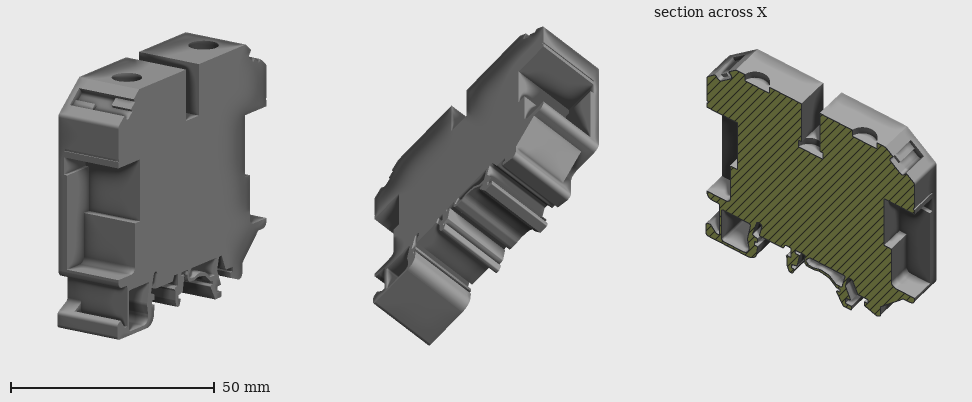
import math

import cadquery as cq

width = 17.95
height = 62.2
half_length = 31.75
body_bottom = 13.05
corner_radius = 1.7
side_wall = 1.65

shoulder_y = 22.8
shoulder_z = 54.7
shoulder_radius = 1.2

slot_width = 5.55
slot_floor = 49.0
hole_diameter = 7.5
hole_depth = 2.1
hole_spacing = 32.8
hole_x = (side_wall + width) / 2

entry_wall = 2.65
entry_top = 44.1
entry_step = 39.6
entry_ledge = 28.2
entry_floor = 15.4
entry_upper_depth = 9.3
entry_lower_depth = 7.15
entry_radius = 1.5
end_groove_z = 46.0
end_groove_height = 0.6
end_groove_depth = 0.3

channel_start = 3.1
channel_end = 8.3
channel_depth = 2.0
channel_radius = 0.8
rib_depth = 1.05
rib_width = 2.35
rib_length = 5.85

foot_tip_y = -32.15
foot_leg_y = -27.9
foot_top = 6.2
foot_lip_top = 4.0
foot_rib_width = 4.15
valley_floor = 2.5
valley_inner_y = -28.9
valley_outer_y = -31.1
valley_outer_z = 5.2

leg_y = 21.35
leg_fillet = 2.4
gusset_outer_y = 28.2
gusset_bottom = 6.4

recess_top = 10.6

clearance = 1


def rounded_outline(corners):
    """Closed YZ wire through (y, z, radius) corners; a radius of 0 leaves the corner sharp."""
    tangents = []
    for index, (y, z, radius) in enumerate(corners):
        corner = cq.Vector(y, z)
        before = cq.Vector(*corners[index - 1][:2]) - corner
        after = cq.Vector(*corners[(index + 1) % len(corners)][:2]) - corner
        if radius == 0:
            tangents.append((corner, corner, corner))
            continue
        half_angle = before.getAngle(after) / 2
        reach = radius / math.tan(half_angle)
        middle_reach = radius / math.sin(half_angle) - radius
        bisector = (before.normalized() + after.normalized()).normalized()
        arc_start = corner + before.normalized() * reach
        arc_end = corner + after.normalized() * reach
        tangents.append((arc_start, corner + bisector * middle_reach, arc_end))

    outline = cq.Workplane("YZ").moveTo(*tangents[0][2].toTuple()[:2])
    for arc_start, arc_middle, arc_end in tangents[1:] + tangents[:1]:
        outline = outline.lineTo(*arc_start.toTuple()[:2])
        if arc_start is not arc_end:
            outline = outline.threePointArc(arc_middle.toTuple()[:2], arc_end.toTuple()[:2])
    return outline.close()


def prism(corners, x_start, x_end):
    """Solid with a YZ outline between two X positions."""
    return rounded_outline(corners).extrude(x_end - x_start).translate((x_start, 0, 0))


def box(x_range, y_range, z_range):
    """Axis-aligned box from its three coordinate ranges."""
    (x0, x1), (y0, y1), (z0, z1) = x_range, y_range, z_range
    return cq.Workplane("XY").box(x1 - x0, y1 - y0, z1 - z0, centered=False).translate((x0, y0, z0))


def make_housing():
    """Full-width housing with its clips, followed clockwise (seen from +X)."""
    fixed_leg = [
        (leg_y, body_bottom, leg_fillet),
        (leg_y, 2.0, 1.3),
        (16.3, 3.9, 0.3),
        (16.3, 5.3, 0),
        (17.35, 5.3, 0),
        (17.35, 6.5, 0),
        (14.3, 6.5, 0.4),
        (12.5, recess_top, 0.3),
    ]
    long_clip = [
        (11.4, recess_top, 0.4),
        (10.6, 7.3, 0.5),
        (12.3, 3.15, 0),
        (10.7, 3.15, 0.4),
        (10.7, 1.45, 0),
        (12.45, 1.45, 0),
        (12.45, 0, 0.3),
        (9.8, 0, 0),
        (7.7, 3.8, 0.2),
        (8.0, 4.2, 0),
        (8.85, 4.2, 0),
        (8.85, 5.05, 0),
        (7.8, 5.1, 0.4),
        (5.6, 7.1, 2.0),
        (2.7, 7.7, 3.0),
        (1.0, 7.25, 1.5),
        (-1.9, 7.25, 1.3),
        (-2.1, 9.3, 0.5),
        (-1.6, recess_top, 0.4),
    ]
    short_clip = [
        (-4.8, recess_top, 0.45),
        (-4.8, 9.65, 0.4),
        (-3.4, 9.65, 0),
        (-4.15, 5.5, 0.3),
        (-5.9, 5.05, 0),
        (-5.9, 4.1, 0.2),
        (-4.9, 3.9, 0.2),
        (-5.6, 2.15, 0.4),
        (-6.7, 2.15, 0.7),
        (-7.35, 4.0, 0.6),
        (-7.35, 6.5, 0),
        (-7.65, 7.0, 0),
        (-7.2, 7.5, 0),
        (-6.1, 7.5, 0),
        (-6.1, recess_top, 0),
        (-7.8, recess_top, 0.3),
        (-8.45, 9.2, 0),
    ]
    rail_foot = [
        (-15.8, 9.2, 0),
        (-14.9, 13.55, 0.6),
        (-16.4, 13.55, 0.6),
        (-17.75, 8.5, 0.2),
        (-16.25, 7.9, 0.3),
        (-16.25, 6.5, 0),
        (-17.2, 6.5, 0),
        (-17.2, 5.3, 0),
        (-16.2, 5.3, 0.2),
        (-16.7, 0, 3.0),
        (foot_tip_y, 0, 0.95),
        (foot_tip_y, foot_lip_top, 1.0),
        (foot_leg_y, foot_top, 1.0),
        (foot_leg_y, body_bottom, 0.5),
    ]
    outline = (
        [
            (shoulder_y, height, 0),
            (half_length, shoulder_z, shoulder_radius),
            (half_length, body_bottom, corner_radius),
        ]
        + fixed_leg
        + long_clip
        + short_clip
        + rail_foot
        + [
            (-half_length, body_bottom, corner_radius),
            (-half_length, shoulder_z, shoulder_radius),
            (-shoulder_y, height, 0),
        ]
    )
    return prism(outline, 0, width)


def make_clip_windows():
    """Through openings that leave the thin spring strip and the hollow rail foot."""
    spring_window = [
        (10.4, recess_top, 0.2),
        (-0.3, recess_top, 0.2),
        (-1.7, 9.1, 0.6),
        (-0.6, 8.0, 0.4),
        (0.9, 7.95, 1.0),
        (2.9, 8.6, 3.0),
        (5.6, 8.1, 2.0),
        (7.7, 6.25, 0.4),
        (9.4, 6.25, 0.3),
    ]
    foot_window = [
        (-18.4, 11.6, 0.4),
        (-27.15, 11.6, 0.4),
        (-27.15, 1.0, 0.6),
        (-19.0, 1.0, 1.7),
        (-19.0, 3.5, 1.0),
        (-19.45, 6.0, 2.0),
    ]
    return prism(spring_window, 0, width).union(prism(foot_window, 0, width))


def make_gusset():
    """Triangular web between the body and the fixed leg, set back behind the side wall."""
    web = [
        (gusset_outer_y, body_bottom, 0),
        (leg_y, gusset_bottom, 0),
        (leg_y - clearance, gusset_bottom, 0),
        (leg_y - clearance, body_bottom + clearance, 0),
        (gusset_outer_y, body_bottom + clearance, 0),
    ]
    return prism(web, entry_wall, width)


def make_foot_valley():
    """Valley behind the foot lip; a rib at the -X side stays full height."""
    valley = [
        (foot_leg_y, foot_top + clearance, 0),
        (foot_leg_y, valley_floor, 0),
        (valley_inner_y, valley_floor, 0),
        (valley_outer_y, valley_outer_z, 0),
        (valley_outer_y, foot_top + clearance, 0),
    ]
    return prism(valley, foot_rib_width, width)


def make_screw_holes():
    """Blind screw holes in the two top faces and one under the central slot."""
    holes = cq.Workplane("XY")
    for y, top in ((-hole_spacing / 2, height), (0, slot_floor), (hole_spacing / 2, height)):
        hole = cq.Workplane("XY").circle(hole_diameter / 2).extrude(hole_depth)
        holes = holes.add(hole.translate((hole_x, y, top - hole_depth)))
    return holes.combine()


def make_wire_entry():
    """Stepped pocket and the shallow groove above it, both in the -Y end face."""
    upper_y = entry_upper_depth - half_length
    lower_y = entry_lower_depth - half_length
    outside_y = -half_length - clearance
    upper = [
        (outside_y, entry_top, 0),
        (upper_y, entry_top, 0),
        (upper_y, entry_ledge, 0),
        (outside_y, entry_ledge, 0),
    ]
    lower = [
        (outside_y, entry_ledge, 0),
        (lower_y, entry_ledge, 0),
        (lower_y, entry_floor, entry_radius),
        (outside_y, entry_floor, 0),
    ]
    notch = box((side_wall, width), (outside_y, upper_y), (entry_step, entry_top))
    groove_bottom = end_groove_z - end_groove_height / 2
    groove = box(
        (side_wall, width),
        (outside_y, end_groove_depth - half_length),
        (groove_bottom, groove_bottom + end_groove_height),
    )
    entry = prism(upper, entry_wall, width).union(prism(lower, entry_wall, width))
    return entry.union(notch).union(groove)


def shoulder_point(distance, depth, radius=0):
    """Corner on the -Y shoulder, given along the slope and perpendicular into the body."""
    slope = math.atan2(height - shoulder_z, half_length - shoulder_y)
    y = -shoulder_y - distance * math.cos(slope) + depth * math.sin(slope)
    z = height - distance * math.sin(slope) - depth * math.cos(slope)
    return (y, z, radius)


def shoulder_strip(start, end, top, bottom, x_range, radius=0):
    """Bar along X on the -Y shoulder between two slope distances and two depths."""
    corners = [
        shoulder_point(start, top),
        shoulder_point(end, top),
        shoulder_point(end, bottom, radius),
        shoulder_point(start, bottom, radius),
    ]
    return prism(corners, *x_range)


def make_marker_channel():
    """Channel in the -Y shoulder, less the two staggered ribs standing on its floor."""
    channel_span = (side_wall, width)
    channel = shoulder_strip(
        channel_start, channel_end, -clearance, channel_depth, channel_span, channel_radius
    )
    upper_rib = shoulder_strip(
        channel_start - clearance,
        channel_start + rib_width,
        rib_depth,
        channel_depth + clearance,
        (width - rib_length, width),
    )
    lower_rib = shoulder_strip(
        channel_end - rib_width,
        channel_end + clearance,
        rib_depth,
        channel_depth + clearance,
        (side_wall, side_wall + rib_length),
    )
    return channel.cut(upper_rib).cut(lower_rib)


slot = box((0, width), (-slot_width / 2, slot_width / 2), (slot_floor, height))
wire_entry = make_wire_entry()
marker_channel = make_marker_channel()

result = make_housing().cut(make_clip_windows()).union(make_gusset())
result = result.cut(make_foot_valley()).cut(slot).cut(make_screw_holes())
result = result.cut(wire_entry).cut(wire_entry.mirror("XZ"))
result = result.cut(marker_channel)
result = result.cut(marker_channel.rotate((hole_x, 0, 0), (hole_x, 0, 1), 180))